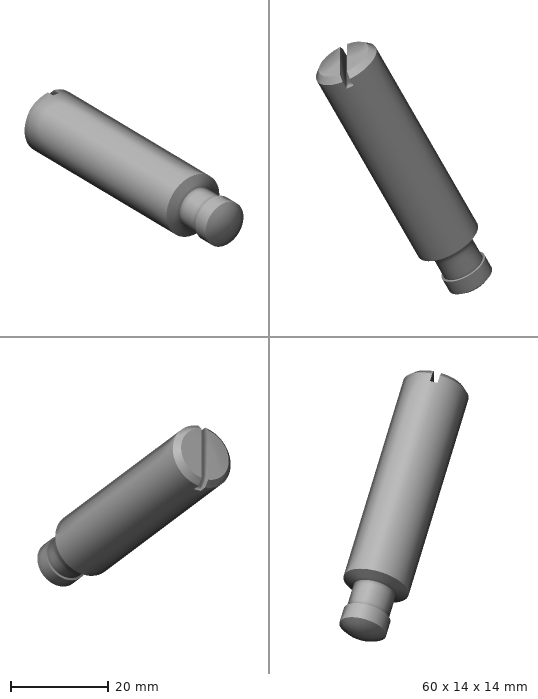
import cadquery as cq

total_length = 60.0
body_diameter = 14.0
neck_diameter = 9.0
head_diameter = 10.0
slot_end_chamfer = 1.25
shoulder_x = 19.15
shoulder_taper_length = 1.2
head_start_x = 24.95
dome_height = 1.7
slot_width = 1.6
slot_depth = 3.0

slot_end_x = -total_length / 2
tip_x = total_length / 2
dome_start_x = tip_x - dome_height
body_radius = body_diameter / 2
neck_radius = neck_diameter / 2
head_radius = head_diameter / 2
dome_radius = (head_radius**2 + dome_height**2) / (2 * dome_height)


def dome_profile_height(x):
    """Distance from the axis to the spherical dome at position x."""
    centre_x = tip_x - dome_radius
    return (dome_radius**2 - (x - centre_x) ** 2) ** 0.5


def make_pin():
    """Revolve the half profile of body, neck and domed head about X."""
    dome_middle_x = (dome_start_x + tip_x) / 2
    return (
        cq.Workplane("XY")
        .moveTo(slot_end_x, 0)
        .lineTo(slot_end_x, body_radius - slot_end_chamfer)
        .lineTo(slot_end_x + slot_end_chamfer, body_radius)
        .lineTo(shoulder_x - shoulder_taper_length, body_radius)
        .lineTo(shoulder_x, neck_radius)
        .lineTo(head_start_x, neck_radius)
        .lineTo(head_start_x, head_radius)
        .lineTo(dome_start_x, head_radius)
        .threePointArc((dome_middle_x, dome_profile_height(dome_middle_x)), (tip_x, 0))
        .close()
        .revolve(360, (0, 0, 0), (1, 0, 0))
    )


def make_screwdriver_slot():
    """Slot across the full diameter, running along Z."""
    return (
        cq.Workplane("XY")
        .box(slot_depth, slot_width, body_diameter, centered=(False, True, True))
        .translate((slot_end_x, 0, 0))
    )


result = make_pin().cut(make_screwdriver_slot())